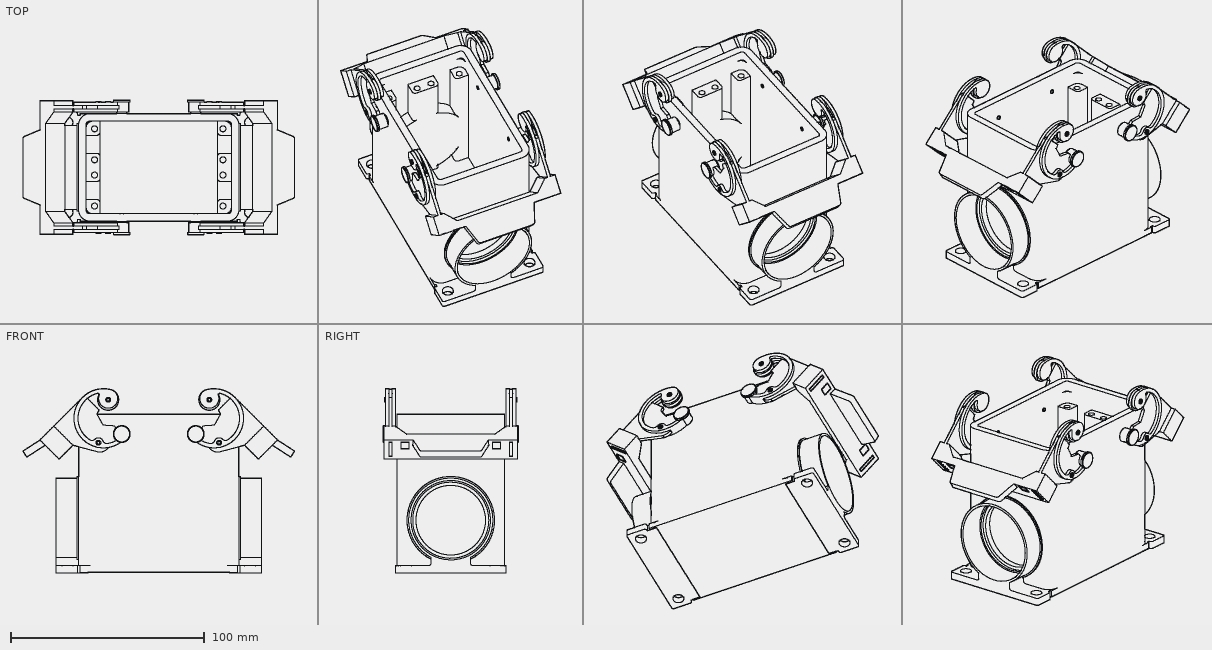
import cadquery as cq
import math


half_length = 70.2
half_width = 69.8 / 2
height = 95.4

body_x = 82.9
body_y = 55.6
body_top = 82.2
body_corner = 6.0
wall = 4.0
floor_thickness = 4.2
mouth_corner = 1.7
mouth_bottom = 76.5
cavity_corner = 3.2

foot_end = 53.1
foot_inner = 41.9
foot_y = 57.3
foot_thickness = 4.0
foot_corner = 1.1
neck_y = 54.0
base_x = 81.2
base_lift = 0.4
foot_hole_x = 47.2
foot_hole_y = 23.2
foot_hole_diameter = 5.6

entry_z = 27.4
entry_radius = 21.8
entry_inner_end = 30.3
collar_radius = 22.6
collar_thickness = 0.8
bore_steps = [(20.5, 39.0), (19.7, 37.4), (18.0, 34.0)]
pedestal_y = 20.2
pedestal_fillet = 1.4

post_top = 70.1
corner_post_y = 7.3
middle_post_y = 14.6
post_round = 1.7
screw_x = 33.2
screw_outer_y = 20.0
screw_inner_y = 4.0
screw_diameter = 3.1
screw_depth = 14.0

arm_inner_y = 28.5
arm_thickness = 5.2
plate_thickness = 1.7
plate_y = arm_inner_y + (arm_thickness - plate_thickness) / 2
band_outer = 15.3
band_inner = 13.2
band_x = -28.5
band_z = height - band_outer
hook_x = -26.1
hook_radius = 4.9
hook_fillet = 0.8
hook_z = band_z + math.sqrt((band_outer - hook_radius) ** 2 - (hook_x - band_x) ** 2)

catch_edge = [(-37.2, 90.8), (-30.8, 84.3), (-31.9, 82.2), (-28.8, 76.5), (-23.0, 76.1)]
heel_start = (-26.3, 64.5)
heel_middle = (-28.2, 63.1)
heel_end = (-30.8, 62.5)
strip_tangent_angle = math.radians(135)
plate_arc_middle = math.radians(-60)
plate_arc_end = math.radians(-85)

roller_radius = 5.5
roller_z = 89.6
roller_slot_start = -39.3
roller_slot_end = -19.7
roller_slot_bottom = 82.2

rivet_x = -31.2
rivet_z = 67.5
rivet_radius = 1.3
rivet_socket_radius = 0.7
rivet_head = 0.4
rivet_lug_radius = 2.5
rivet_lug_fillet = 2.1

pivot_x = -19.1
pivot_z = 72.0
pivot_head_radius = 4.4
pivot_hub_radius = 3.7
pivot_head_chamfer = 0.3
pivot_pin_radius = 2.7
pivot_dimple_radius = 1.0
pivot_dimple_depth = 0.4

handle_half_y = 34.5
handle_drop = 14.0
handle_end_rise = 10.1
handle_web_rise = 4.2
handle_end_y = 28.7
handle_web_y = 22.8
recess_margin = 1.8
recess_depth = 0.4
pocket_y = 23.6
pocket_width = 4.2
pocket_drop = 4.8
handle_x = -61.4
handle_z = band_z + band_outer * math.sqrt(2) + handle_x - band_x
arm_overlap = 2.8

lip_angle = 33.0
lip_thickness = 3.8
lip_length = 12.1
lip_root_y = 20.0
lip_tip_y = 15.7
lip_corner = 1.4


def block(x0, x1, width_y, z0, z1):
    """Box between two X and two Z values, centred on Y."""
    box = cq.Workplane("XY").box(x1 - x0, width_y, z1 - z0, centered=(False, True, False))
    return box.translate((x0, 0, z0))


def rod_y(x, z, radius, y0, y1):
    """Cylinder along Y between y0 and y1."""
    return cq.Workplane("XZ", origin=(x, y0, z)).circle(radius).extrude(y0 - y1)


def disc_x(radius, x0, x1):
    """Cylinder along X on the cable entry axis."""
    return cq.Workplane("YZ", origin=(x0, 0, entry_z)).circle(radius).extrude(x1 - x0)


def both_ends(shape):
    return shape.union(shape.mirror("YZ"))


def both_sides(shape):
    return shape.union(shape.mirror("XZ"))


def make_box():
    shell = block(-body_x / 2, body_x / 2, body_y, base_lift, body_top).edges("|Z").fillet(body_corner)
    base = block(-base_x / 2, base_x / 2, body_y, base_lift, foot_thickness)
    return shell.union(base)


def make_foot():
    foot = block(-foot_end, -foot_inner, foot_y, 0, foot_thickness).edges("|Z").fillet(foot_corner)
    neck = block(-foot_inner - foot_corner, -base_x / 2 + wall, neck_y, 0, foot_thickness)
    pedestal = block(-foot_end, -body_x / 2 + wall, pedestal_y, 0, entry_z)
    foot = foot.union(neck).union(pedestal)
    for y in (-pedestal_y / 2, pedestal_y / 2):
        corner = cq.selectors.NearestToPointSelector((-(foot_end + foot_inner) / 2, y, foot_thickness))
        foot = foot.edges("|X").edges(corner).fillet(pedestal_fillet)
    holes = (
        cq.Workplane("XY")
        .pushPoints([(-foot_hole_x, -foot_hole_y), (-foot_hole_x, foot_hole_y)])
        .circle(foot_hole_diameter / 2)
        .extrude(foot_thickness)
    )
    return foot.cut(holes)


def make_entry():
    tube = disc_x(entry_radius, -foot_end, -entry_inner_end)
    collar = disc_x(collar_radius, -body_x / 2 - collar_thickness, -body_x / 2)
    return tube.union(collar)


def make_entry_bore():
    bore = None
    for radius, end in bore_steps:
        step = disc_x(radius, -foot_end, -end)
        bore = step if bore is None else bore.union(step)
    return bore


def cavity_block(bottom, top, corner):
    half_x = body_x / 2 - wall
    return block(-half_x, half_x, body_y - 2 * wall, bottom, top).edges("|Z").fillet(corner)


def make_cavity():
    """Cavity whose corners are tighter at the mouth."""
    lower = cavity_block(floor_thickness, mouth_bottom, cavity_corner)
    return lower.union(cavity_block(mouth_bottom, body_top, mouth_corner))


def make_posts():
    outer_x = -body_x / 2 + wall
    overlap = wall / 2
    middle = block(outer_x - overlap, -entry_inner_end, middle_post_y, floor_thickness / 2, post_top)
    middle = middle.edges("|Z and >X").fillet(post_round)
    corner_width = corner_post_y + overlap
    corner_center = body_y / 2 - wall - corner_post_y + corner_width / 2
    corner = block(outer_x - overlap, -entry_inner_end, corner_width, floor_thickness / 2, post_top)
    corner = corner.edges("|Z and >X and <Y").fillet(post_round).translate((0, corner_center, 0))
    posts = both_sides(corner).union(middle)
    screw_y = [-screw_outer_y, -screw_inner_y, screw_inner_y, screw_outer_y]
    holes = (
        cq.Workplane("XY", origin=(0, 0, post_top))
        .pushPoints([(-screw_x, y) for y in screw_y])
        .circle(screw_diameter / 2)
        .extrude(-screw_depth)
    )
    return posts.cut(holes)


def handle_point(rise, drop):
    """X and Z of a point given along the two tilted handle directions."""
    diagonal = math.sqrt(0.5)
    return handle_x + diagonal * (rise + drop), handle_z + diagonal * (rise - drop)


def make_handle():
    half_profile = [
        (handle_half_y, 0),
        (handle_half_y, handle_end_rise),
        (handle_end_y, handle_end_rise),
        (handle_web_y, handle_web_rise),
    ]
    outline = half_profile + [(-y, rise) for y, rise in reversed(half_profile)]
    plane = cq.Plane(origin=(handle_x, 0, handle_z), xDir=(0, 1, 0), normal=(1, 0, -1))
    handle = cq.Workplane(plane).polyline(outline).close().extrude(handle_drop)
    return handle.cut(both_sides(make_handle_recesses()))


def make_handle_recesses():
    """Shallow rectangular recesses in the underside of the handle on the +Y side."""
    plane = cq.Plane(origin=(handle_x, 0, handle_z), xDir=(0, 1, 0), normal=(1, 0, 1))
    center_y = plate_y + plate_thickness / 2
    slot = (
        cq.Workplane(plane)
        .center(center_y, -handle_drop / 2)
        .rect(plate_thickness, handle_drop - 2 * recess_margin)
        .extrude(recess_depth)
    )
    pocket = (
        cq.Workplane(plane)
        .center(pocket_y, -recess_margin - pocket_drop / 2)
        .rect(pocket_width, pocket_drop)
        .extrude(recess_depth)
    )
    return slot.union(pocket)


def make_lip():
    tilt = math.radians(lip_angle)
    along = (-math.cos(tilt), 0, -math.sin(tilt))
    normal = (-math.sin(tilt), 0, math.cos(tilt))
    tip_x = -half_length
    tip_z = handle_z - (half_length + handle_x) * math.tan(tilt)
    root = (tip_x - along[0] * lip_length, 0, tip_z - along[2] * lip_length)
    plane = cq.Plane(origin=root, xDir=along, normal=normal)
    outline = [(0, -lip_root_y), (0, lip_root_y), (lip_length, lip_tip_y), (lip_length, -lip_tip_y)]
    lip = cq.Workplane(plane).polyline(outline).close().extrude(-lip_thickness)
    tip_corners = cq.selectors.ParallelDirSelector(cq.Vector(*normal))
    return lip.faces("<X").edges(tip_corners).fillet(lip_corner)


def band_point(radius, angle):
    """X and Z of a point on a circle about the band centre, angle in radians from +X."""
    return band_x + radius * math.cos(angle), band_z + radius * math.sin(angle)


def fillet_band_corner(band, corner, radius):
    """Round the band edge along Y that is nearest to the given X and Z."""
    x, z = corner
    nearest = cq.selectors.NearestToPointSelector((x, arm_inner_y + arm_thickness / 2, z))
    return band.edges("|Y").edges(nearest).fillet(radius)


def make_hook_band():
    """C-shaped band from the pivot round to a disc-shaped hook end that is tangent to the outer arc."""
    pivot_angle = math.atan2(pivot_z - band_z, pivot_x - band_x)
    hook_angle = math.atan2(hook_z - band_z, hook_x - band_x)
    hook_distance = band_outer - hook_radius
    cosine = (band_inner**2 + hook_distance**2 - hook_radius**2) / (2 * band_inner * hook_distance)
    inner_end = hook_angle + math.acos(cosine)
    far_side = math.pi
    hook_inward = (
        hook_x - hook_radius * math.cos(hook_angle),
        hook_z - hook_radius * math.sin(hook_angle),
    )
    band = (
        cq.Workplane("XZ", origin=(0, arm_inner_y, 0))
        .moveTo(*band_point(band_outer, pivot_angle))
        .lineTo(*band_point(band_inner, pivot_angle))
        .threePointArc(band_point(band_inner, -far_side), band_point(band_inner, inner_end))
        .threePointArc(hook_inward, band_point(band_outer, hook_angle))
        .threePointArc(band_point(band_outer, far_side), band_point(band_outer, pivot_angle))
        .close()
        .extrude(-arm_thickness)
    )
    band = fillet_band_corner(band, band_point(band_inner, inner_end), hook_fillet)

    band = band.union(rod_y(rivet_x, rivet_z, rivet_lug_radius, arm_inner_y, arm_inner_y + arm_thickness))
    rivet_angle = math.atan2(rivet_z - band_z, rivet_x - band_x)
    lug_half_angle = rivet_lug_radius / band_inner
    for angle in (rivet_angle - lug_half_angle, rivet_angle + lug_half_angle):
        band = fillet_band_corner(band, band_point(band_inner, angle), rivet_lug_fillet)
    return band


def make_arm_plate():
    """Thin middle plate from the handle to the pivot; its rounded edges run inside the hook band."""
    band_middle = (band_outer + band_inner) / 2
    pivot_angle = math.atan2(pivot_z - band_z, pivot_x - band_x)
    return (
        cq.Workplane("XZ", origin=(0, plate_y, 0))
        .moveTo(*handle_point(handle_end_rise - arm_overlap, 0))
        .lineTo(*band_point(band_outer, strip_tangent_angle))
        .polyline(catch_edge, includeCurrent=True)
        .lineTo(pivot_x, pivot_z)
        .lineTo(*band_point(band_middle, pivot_angle))
        .threePointArc(band_point(band_middle, plate_arc_middle), band_point(band_middle, plate_arc_end))
        .lineTo(*heel_start)
        .threePointArc(heel_middle, heel_end)
        .lineTo(*handle_point(handle_end_rise, handle_drop))
        .lineTo(*handle_point(handle_end_rise - arm_overlap, handle_drop))
        .close()
        .extrude(-plate_thickness)
    )


def make_arm():
    """Arm on the +Y side."""
    arm_outer_y = arm_inner_y + arm_thickness
    slot = block(roller_slot_start, roller_slot_end, plate_thickness, roller_slot_bottom, height)
    slot = slot.translate((0, plate_y + plate_thickness / 2, 0))
    arm = make_arm_plate().union(make_hook_band().cut(slot))
    arm = arm.union(rod_y(hook_x, roller_z, roller_radius, plate_y, plate_y + plate_thickness))

    for x, z in [(rivet_x, rivet_z), (hook_x, roller_z)]:
        rivet = rod_y(x, z, rivet_radius, plate_y, arm_outer_y + rivet_head)
        socket = rod_y(x, z, rivet_socket_radius, arm_outer_y, arm_outer_y + rivet_head)
        arm = arm.union(rivet.cut(socket))

    arm = arm.union(rod_y(pivot_x, pivot_z, pivot_pin_radius, body_y / 2 - wall / 2, arm_inner_y))
    arm = arm.union(rod_y(pivot_x, pivot_z, pivot_hub_radius, arm_inner_y, arm_outer_y))
    head = rod_y(pivot_x, pivot_z, pivot_head_radius, arm_outer_y, half_width)
    return arm.union(head.faces(">Y").chamfer(pivot_head_chamfer))


def make_latch():
    return make_handle().union(make_lip()).union(both_sides(make_arm()))


housing = make_box().union(both_ends(make_foot())).union(both_ends(make_entry()))
cavity = make_cavity().cut(both_ends(make_entry()))
housing = housing.cut(cavity).union(both_ends(make_posts())).cut(both_ends(make_entry_bore()))
dimple_y = body_y / 2 - wall
dimple = rod_y(pivot_x, pivot_z, pivot_dimple_radius, dimple_y, dimple_y + pivot_dimple_depth)
housing = housing.cut(both_ends(both_sides(dimple)))

result = housing.union(both_ends(make_latch()))